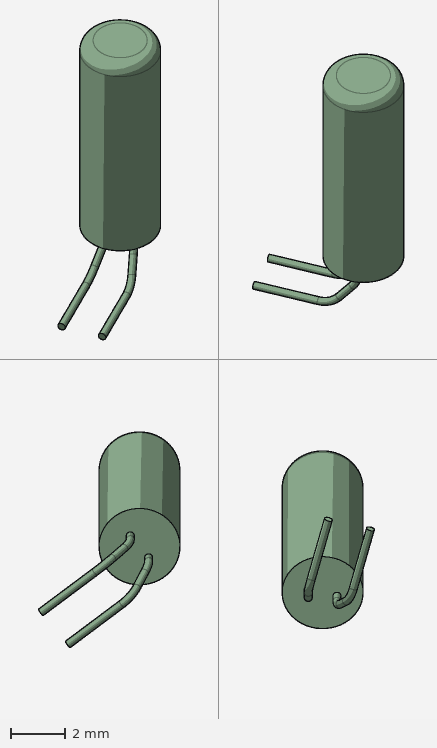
import cadquery as cq
import math

overall_height = 11.05
overall_depth = 5.5

can_diameter = 3.0
top_round = 0.5

wire_diameter = 0.3
root_spacing = 1.09
tip_spacing = 1.6
first_bend_drop = 0.77
tip_drop = 2.0
second_bend_reach = 1.0
bend_radius = 1.0

can_height = overall_height - tip_drop - wire_diameter / 2
tip_reach = overall_depth - can_diameter / 2


def rounded_corner(before, corner, after):
    """Return the start, middle and end of the arc rounding a corner."""
    toward_before = (before - corner).normalized()
    toward_after = (after - corner).normalized()
    half_angle = toward_before.getAngle(toward_after) / 2
    tangent_length = bend_radius / math.tan(half_angle)
    apex_distance = bend_radius / math.sin(half_angle) - bend_radius
    start = corner + toward_before * tangent_length
    middle = corner + (toward_before + toward_after).normalized() * apex_distance
    end = corner + toward_after * tangent_length
    return start, middle, end


def make_can():
    can = cq.Workplane("XY").circle(can_diameter / 2).extrude(can_height)
    return can.faces(">Z").edges().fillet(top_round)


def make_lead(side):
    """Lead that drops, slants forward and outward, then runs toward -Y."""
    root_x = side * root_spacing / 2
    tip_x = side * tip_spacing / 2
    root = cq.Vector(root_x, 0, 0)
    first_corner = cq.Vector(root_x, 0, -first_bend_drop)
    second_corner = cq.Vector(tip_x, -second_bend_reach, -tip_drop)
    tip = cq.Vector(tip_x, -tip_reach, -tip_drop)

    first_start, first_middle, first_end = rounded_corner(root, first_corner, second_corner)
    second_start, second_middle, second_end = rounded_corner(first_corner, second_corner, tip)
    centreline = cq.Wire.assembleEdges([
        cq.Edge.makeLine(root, first_start),
        cq.Edge.makeThreePointArc(first_start, first_middle, first_end),
        cq.Edge.makeLine(first_end, second_start),
        cq.Edge.makeThreePointArc(second_start, second_middle, second_end),
        cq.Edge.makeLine(second_end, tip),
    ])
    section = cq.Workplane("XY").center(root_x, 0).circle(wire_diameter / 2)
    return section.sweep(cq.Workplane(centreline))


result = make_can()
for side in (-1, 1):
    result = result.union(make_lead(side))